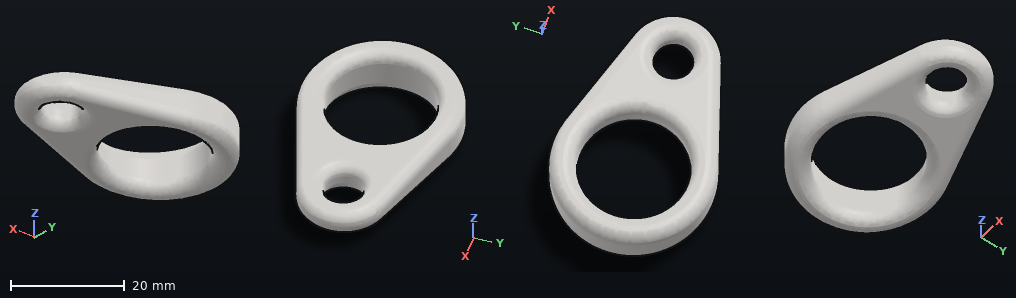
import cadquery as cq
import math

length = 45.0
big_radius = 15.0
small_radius = 8.5
big_hole_diameter = 20.0
small_hole_diameter = 7.0
edge_radius = 2.47
left_half_height = 5.0
right_half_height = 2.47

left_x = -big_radius
right_x = left_x + length
small_center_x = right_x - small_radius


def tangent_points(center_x, radius):
    """Upper and lower points where the straight sides touch an end circle."""
    lean = math.acos((big_radius - small_radius) / small_center_x)
    x = center_x + radius * math.cos(lean)
    y = radius * math.sin(lean)
    return (x, y), (x, -y)


def teardrop():
    """Outline of two end arcs joined by their common tangents."""
    big_upper, big_lower = tangent_points(0, big_radius)
    small_upper, small_lower = tangent_points(small_center_x, small_radius)
    return (
        cq.Workplane("XY")
        .workplane(offset=-left_half_height)
        .moveTo(*big_upper)
        .lineTo(*small_upper)
        .threePointArc((right_x, 0), small_lower)
        .lineTo(*big_lower)
        .threePointArc((left_x, 0), big_upper)
        .close()
        .extrude(2 * left_half_height)
    )


def wedge():
    """Side profile tapering evenly from the big end to the small end."""
    return (
        cq.Workplane("XZ")
        .moveTo(left_x, -left_half_height)
        .lineTo(right_x, -right_half_height)
        .lineTo(right_x, right_half_height)
        .lineTo(left_x, left_half_height)
        .close()
        .extrude(big_radius, both=True)
    )


def hole(center_x, diameter):
    """Vertical cutter through the full thickness."""
    return (
        cq.Workplane("XY")
        .center(center_x, 0)
        .circle(diameter / 2)
        .extrude(left_half_height, both=True)
    )


body = teardrop().intersect(wedge())
body = body.cut(hole(0, big_hole_diameter))
body = body.cut(hole(small_center_x, small_hole_diameter))

result = body.faces(">Z or <Z").edges().fillet(edge_radius)